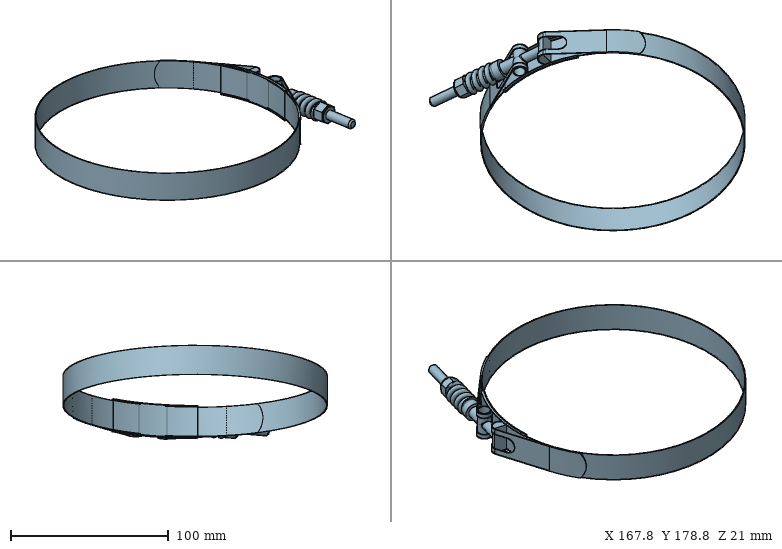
import cadquery as cq
import math

BAND_DIAMETER = 167.8
BAND_THICKNESS = 0.63
BAND_WIDTH = 19.0
LOOP_OFFSET = 10.0
LOOP_RADIUS = 4.5
TIP_ANGLE = 139.4
TIP_RADIUS = 13.8
BOLT_WINDOW_HALF_WIDTH = 5.5
BOLT_WINDOW_LENGTH = 13.5
SLEEVE_WINDOW_HALF_WIDTH = 6.3
SLEEVE_WINDOW_LENGTH = 26.8
WINDOW_DROP = 3.8

BRIDGE_WIDTH = 21.0
BRIDGE_LENGTH = 56.6
BRIDGE_WALL = 0.45
BRIDGE_OUTER_RADIUS = 85.0

BOLT_RADIUS = 3.2
BOLT_END = 78.8
BOLT_CHAMFER_LENGTH = 1.3
BOLT_CHAMFER_DEPTH = 1.0
HEAD_FLAT_OFFSET = 1.0

ROLLER_WALL = 0.7
TUBE_RADIUS = 4.1
COLLAR_RADIUS = 6.3
COLLAR_START = 22.9
COLLAR_END = 29.8
COLLAR_CHAMFER_LENGTH = 1.8
COLLAR_CHAMFER_DEPTH = 0.5
SPRING_END = 50.0
SPRING_TURNS = 4.1
SPRING_WIRE_RADIUS = 1.65
SPRING_COIL_RADIUS = 5.4
SPRING_FIRST_TOP = 31.8
NUT_ACROSS_FLATS = 11.5
NUT_END = 57.9
NUT_FACE_LENGTH = 1.0
NUT_FACE_CHAMFER = 0.4

BAND_RADIUS = BAND_DIAMETER / 2
RING_INNER_RADIUS = BAND_RADIUS - BAND_THICKNESS
TIP_OUTER_RADIUS = BAND_RADIUS + BAND_THICKNESS
LOOP_OUTER_RADIUS = LOOP_RADIUS + BAND_THICKNESS
LOOP_DISTANCE = RING_INNER_RADIUS + LOOP_OUTER_RADIUS
AXIS_Y = math.sqrt(LOOP_DISTANCE**2 - LOOP_OFFSET**2)
LOOP_LEAN = math.degrees(math.asin(LOOP_OFFSET / LOOP_DISTANCE))
RUN_SLOPE = LOOP_LEAN + math.degrees(math.acos((BAND_RADIUS - LOOP_RADIUS) / LOOP_DISTANCE))
RUN_LENGTH = math.sqrt(LOOP_DISTANCE**2 - (BAND_RADIUS - LOOP_RADIUS) ** 2)
RUN_ANGLE = 90 + RUN_SLOPE

SPRING_PITCH = (SPRING_END - COLLAR_END) / SPRING_TURNS


def polar(center, radius, angle):
    """Point at a radius and an angle in degrees from a centre."""
    turn = math.radians(angle)
    return (center[0] + radius * math.cos(turn), center[1] + radius * math.sin(turn))


def ring_sector(center, inner, outer, start, end, width):
    """Piece of a ring about Z between two angles, centred on Z = 0."""
    middle = (start + end) / 2
    return (
        cq.Workplane("XY")
        .moveTo(*polar(center, inner, start))
        .threePointArc(polar(center, inner, middle), polar(center, inner, end))
        .lineTo(*polar(center, outer, end))
        .threePointArc(polar(center, outer, middle), polar(center, outer, start))
        .close()
        .extrude(width / 2, both=True)
    )


def rod(radius, start, end):
    """Cylinder on the bolt axis between two X positions."""
    return cq.Workplane("YZ", origin=(start, AXIS_Y, 0)).circle(radius).extrude(end - start)


def roller_cylinder(center_x, radius):
    """Cylinder parallel to Z, as wide as the band, on the bolt axis."""
    return cq.Workplane("XY", origin=(center_x, AXIS_Y, 0)).circle(radius).extrude(BAND_WIDTH / 2, both=True)


def band_tip():
    """Rounded end that lies on the outside of the ring."""
    round_angle = TIP_ANGLE - math.degrees(TIP_RADIUS / TIP_OUTER_RADIUS)
    lap = ring_sector((0, 0), BAND_RADIUS, TIP_OUTER_RADIUS, RUN_ANGLE, round_angle, BAND_WIDTH)
    blank_angle = 2 * TIP_ANGLE - round_angle
    end = ring_sector((0, 0), BAND_RADIUS, TIP_OUTER_RADIUS, round_angle, blank_angle, BAND_WIDTH)
    direction = cq.Vector(*polar((0, 0), 1, round_angle))
    rounding = cq.Solid.makeCylinder(TIP_RADIUS, 2 * BAND_RADIUS, cq.Vector(0, 0, 0), direction)
    return lap.union(end.intersect(cq.Workplane(rounding)))


def band_end(half_width, window_length):
    """Loop, straight run and tip on the -X side, with the window cut through."""
    center = (-LOOP_OFFSET, AXIS_Y)
    loop = ring_sector(center, LOOP_RADIUS, LOOP_OUTER_RADIUS, LOOP_LEAN - 90, RUN_ANGLE, BAND_WIDTH)
    touch = polar(center, LOOP_RADIUS, RUN_ANGLE)
    run_plane = cq.Plane(
        origin=(touch[0], touch[1], 0),
        xDir=polar((0, 0), 1, RUN_ANGLE + 90) + (0,),
        normal=polar((0, 0), 1, RUN_ANGLE) + (0,),
    )
    run = (
        cq.Workplane(run_plane)
        .center(RUN_LENGTH / 2, 0)
        .rect(RUN_LENGTH, BAND_WIDTH)
        .extrude(BAND_THICKNESS)
    )
    straight = window_length - half_width
    run_window = (
        cq.Workplane(run_plane)
        .workplane(offset=-BAND_THICKNESS)
        .moveTo(-BAND_THICKNESS, -half_width)
        .lineTo(straight, -half_width)
        .threePointArc((window_length, 0), (straight, half_width))
        .lineTo(-BAND_THICKNESS, half_width)
        .close()
        .extrude(3 * BAND_THICKNESS)
    )
    loop_window = (
        cq.Workplane("XY")
        .box(
            LOOP_OUTER_RADIUS - touch[0] + center[0],
            WINDOW_DROP + LOOP_OUTER_RADIUS,
            2 * half_width,
            centered=(False, False, True),
        )
        .translate((touch[0], AXIS_Y - WINDOW_DROP, 0))
    )
    return loop.union(run).union(band_tip()).cut(run_window).cut(loop_window)


def make_band():
    """Ring with a gap at +Y and an end piece on each side of the gap."""
    ring = ring_sector(
        (0, 0), RING_INNER_RADIUS, BAND_RADIUS, 90 + LOOP_LEAN, 450 - LOOP_LEAN, BAND_WIDTH
    )
    bolt_end = band_end(BOLT_WINDOW_HALF_WIDTH, BOLT_WINDOW_LENGTH)
    sleeve_end = band_end(SLEEVE_WINDOW_HALF_WIDTH, SLEEVE_WINDOW_LENGTH).mirror("YZ")
    return ring.union(bolt_end).union(sleeve_end)


def make_bridge():
    """Thin web inside the ring with a flange beside each edge of the band."""
    web_inner = RING_INNER_RADIUS - BRIDGE_WALL
    channel = (
        cq.Workplane("XY")
        .circle(BRIDGE_OUTER_RADIUS)
        .circle(web_inner)
        .extrude(BRIDGE_WIDTH / 2, both=True)
        .cut(
            cq.Workplane("XY")
            .circle(BRIDGE_OUTER_RADIUS)
            .circle(RING_INNER_RADIUS)
            .extrude(BRIDGE_WIDTH / 2 - BRIDGE_WALL, both=True)
        )
    )
    span = (
        cq.Workplane("XY")
        .box(BRIDGE_LENGTH, BAND_RADIUS, BRIDGE_WIDTH)
        .translate((0, BAND_RADIUS, 0))
    )
    return channel.intersect(span)


def make_bolt():
    """Shank with a chamfered end, and a head that is a cylinder with a flat back."""
    flat_x = -LOOP_OFFSET - HEAD_FLAT_OFFSET
    behind_flat = (
        cq.Workplane("XY")
        .box(LOOP_RADIUS, 2 * LOOP_RADIUS, BAND_WIDTH)
        .translate((flat_x - LOOP_RADIUS / 2, AXIS_Y, 0))
    )
    head = roller_cylinder(-LOOP_OFFSET, LOOP_RADIUS).cut(behind_flat)
    shank = (
        cq.Workplane("XY", origin=(0, AXIS_Y, 0))
        .moveTo(-LOOP_OFFSET, 0)
        .lineTo(-LOOP_OFFSET, BOLT_RADIUS)
        .lineTo(BOLT_END - BOLT_CHAMFER_LENGTH, BOLT_RADIUS)
        .lineTo(BOLT_END, BOLT_RADIUS - BOLT_CHAMFER_DEPTH)
        .lineTo(BOLT_END, 0)
        .close()
        .revolve(360, (0, 0, 0), (1, 0, 0))
    )
    return head.union(shank)


def make_roller():
    """Thin tube inside the sleeve-side loop, crossed by the bolt."""
    return (
        roller_cylinder(LOOP_OFFSET, LOOP_RADIUS)
        .cut(roller_cylinder(LOOP_OFFSET, LOOP_RADIUS - ROLLER_WALL))
        .cut(rod(BOLT_RADIUS, 0, COLLAR_START))
    )


def make_sleeve():
    """Tube that rests on the roller with a saddle end, and a collar for the spring."""
    collar = (
        cq.Workplane("XY", origin=(0, AXIS_Y, 0))
        .moveTo(COLLAR_START, 0)
        .lineTo(COLLAR_START, COLLAR_RADIUS)
        .lineTo(COLLAR_END - COLLAR_CHAMFER_LENGTH, COLLAR_RADIUS)
        .lineTo(COLLAR_END, COLLAR_RADIUS - COLLAR_CHAMFER_DEPTH)
        .lineTo(COLLAR_END, 0)
        .close()
        .revolve(360, (0, 0, 0), (1, 0, 0))
    )
    return (
        rod(TUBE_RADIUS, LOOP_OFFSET, COLLAR_START)
        .union(collar)
        .cut(roller_cylinder(LOOP_OFFSET, LOOP_RADIUS))
        .cut(rod(BOLT_RADIUS, LOOP_OFFSET, COLLAR_END))
    )


def make_spring():
    """Left-hand coil with both ends ground flat."""
    start = SPRING_FIRST_TOP - SPRING_PITCH
    length = SPRING_END + SPRING_PITCH - start
    helix = cq.Wire.makeHelix(SPRING_PITCH, length, SPRING_COIL_RADIUS, lefthand=True)
    coil = (
        cq.Workplane("XZ", origin=(SPRING_COIL_RADIUS, 0, 0))
        .circle(SPRING_WIRE_RADIUS)
        .sweep(cq.Workplane(helix), isFrenet=True)
    )
    bolt_frame = cq.Plane(origin=(start, AXIS_Y, 0), xDir=(0, 1, 0), normal=(1, 0, 0))
    placed = cq.Workplane(coil.val().moved(cq.Location(bolt_frame)))
    return placed.intersect(rod(2 * SPRING_COIL_RADIUS, COLLAR_END, SPRING_END))


def make_nut():
    """Hexagon with corners on +Z and -Z, and a round chamfered face on the outer end."""
    across_corners = NUT_ACROSS_FLATS / math.cos(math.pi / 6)
    hexagon = (
        cq.Workplane("YZ", origin=(SPRING_END, AXIS_Y, 0))
        .transformed(rotate=(0, 0, 90))
        .polygon(6, across_corners)
        .extrude(NUT_END - NUT_FACE_LENGTH - SPRING_END)
    )
    face = rod(NUT_ACROSS_FLATS / 2, SPRING_END, NUT_END).faces(">X").chamfer(NUT_FACE_CHAMFER)
    return hexagon.union(face).cut(rod(BOLT_RADIUS, SPRING_END, NUT_END))


band = make_band()
bridge = make_bridge()
bolt = make_bolt()
roller = make_roller()
sleeve = make_sleeve()
spring = make_spring()
nut = make_nut()

bodies = [band, bridge, bolt, roller, sleeve, spring, nut]
result = cq.Compound.makeCompound([body.solids().val() for body in bodies])